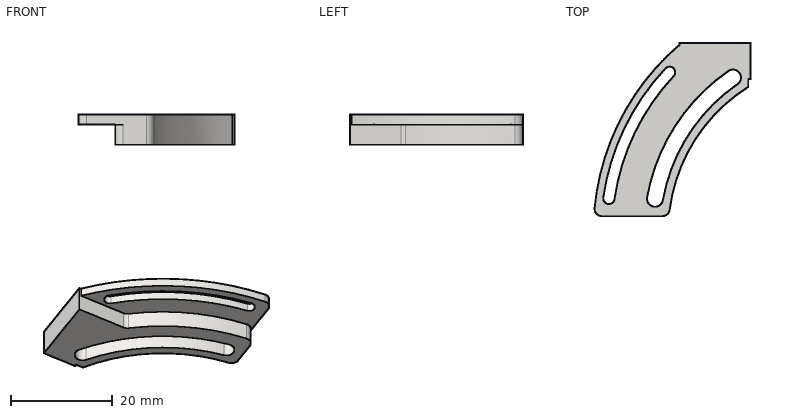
import cadquery as cq
import math

total_height = 6.0
flange_thickness = 2.0
body_top = total_height - flange_thickness

centre_x, centre_y = 48.2, -3.0
flange_radius = 48.42
body_radius = 41.22
inner_radius = 33.65

length_x, length_y = 30.75, 34.15
left_face_x = 16.7
step_depth = 0.4
step_y = 27.0
corner_fillet = 1.5

narrow_slot = (45.83, 2.2, 8.2, 43.2)
wide_slot = (36.85, 3.1, 10.1, 55.4)


def polar(radius, angle):
    """Point at an angle in degrees, measured clockwise from -X about the centre."""
    turn = math.radians(angle)
    return centre_x - radius * math.cos(turn), centre_y + radius * math.sin(turn)


def angle_at_x(radius, x):
    return math.degrees(math.acos((centre_x - x) / radius))


def angle_at_y(radius, y):
    return math.degrees(math.asin((y - centre_y) / radius))


def curved_plate(outer_radius, height):
    """Plate between the inner wall and an outer arc, with a square upper end."""
    step_x = length_x - step_depth
    outer_low = angle_at_y(outer_radius, 0)
    outer_high = angle_at_x(outer_radius, left_face_x)
    inner_low = angle_at_y(inner_radius, 0)
    inner_high = angle_at_x(inner_radius, step_x)
    plate = (
        cq.Workplane("XY")
        .moveTo(*polar(outer_radius, outer_low))
        .threePointArc(
            polar(outer_radius, (outer_low + outer_high) / 2),
            polar(outer_radius, outer_high),
        )
        .lineTo(left_face_x, length_y)
        .lineTo(length_x, length_y)
        .lineTo(length_x, step_y)
        .lineTo(step_x, step_y)
        .lineTo(*polar(inner_radius, inner_high))
        .threePointArc(
            polar(inner_radius, (inner_low + inner_high) / 2),
            polar(inner_radius, inner_low),
        )
        .close()
        .extrude(height)
    )
    return plate.faces("<Y").edges("|Z").fillet(corner_fillet)


def slot_cutter(radius, width, low, high):
    """Arc-shaped through slot with round ends."""
    outer = radius + width / 2
    inner = radius - width / 2
    middle = (low + high) / 2
    end_overhang = math.degrees(width / 2 / radius)
    return (
        cq.Workplane("XY")
        .moveTo(*polar(outer, low))
        .threePointArc(polar(outer, middle), polar(outer, high))
        .threePointArc(polar(radius, high + end_overhang), polar(inner, high))
        .threePointArc(polar(inner, middle), polar(inner, low))
        .threePointArc(polar(radius, low - end_overhang), polar(outer, low))
        .close()
        .extrude(total_height)
    )


body = curved_plate(body_radius, total_height)
blend_point = polar(body_radius, angle_at_x(body_radius, left_face_x))
blend_edge = cq.selectors.NearestToPointSelector((*blend_point, total_height / 2))
body = body.edges("|Z").edges(blend_edge).fillet(corner_fillet)

flange = curved_plate(flange_radius, flange_thickness).translate((0, 0, body_top))

result = body.union(flange)
for slot in (narrow_slot, wide_slot):
    result = result.cut(slot_cutter(*slot))